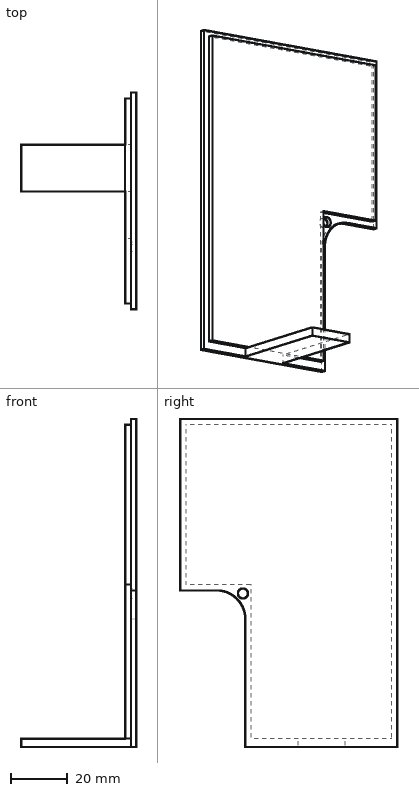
import cadquery as cq

depth = 40.5
width = 76.3
height = 115.5

plate_thickness = 2.0
leg_width = 53.5
notch_height = 55.1
notch_radius = 10.0

panel_thickness = 2.0
panel_margin = 2.1

tab_thickness = 3.0
tab_width = 16.5
tab_inset = 18.4

hole_diameter = 3.5
hole_offset_y = 0.8
hole_offset_z = 1.0

notch_y = width - leg_width
plate_front = depth - plate_thickness
panel_front = plate_front - panel_thickness


def l_shape(front, thickness, margin, bottom):
    """L-shaped slab whose edges are moved inward by margin, standing on bottom."""
    inner_y = notch_y + margin
    inner_z = notch_height + margin
    outline = [
        (inner_y, bottom),
        (width - margin, bottom),
        (width - margin, height - margin),
        (margin, height - margin),
        (margin, inner_z),
        (inner_y, inner_z),
    ]
    return cq.Workplane("YZ", origin=(front, 0, 0)).polyline(outline).close().extrude(thickness)


def back_plate():
    """Full-size plate with a rounded notch corner and a small through hole."""
    corner = cq.selectors.NearestToPointSelector((depth - plate_thickness / 2, notch_y, notch_height))
    plate = l_shape(plate_front, plate_thickness, 0, 0).edges("|X").edges(corner).fillet(notch_radius)
    hole = (
        cq.Workplane("YZ", origin=(plate_front, 0, 0))
        .center(notch_y - hole_offset_y, notch_height - hole_offset_z)
        .circle(hole_diameter / 2)
        .extrude(plate_thickness)
    )
    return plate.cut(hole)


def foot_tab():
    """Flat bar running forward from the bottom of the plate."""
    tab_y = width - tab_inset - tab_width
    return cq.Workplane("XY").box(plate_front, tab_width, tab_thickness, centered=False).translate((0, tab_y, 0))


panel = l_shape(panel_front, panel_thickness, panel_margin, tab_thickness)
result = back_plate().union(panel).union(foot_tab())